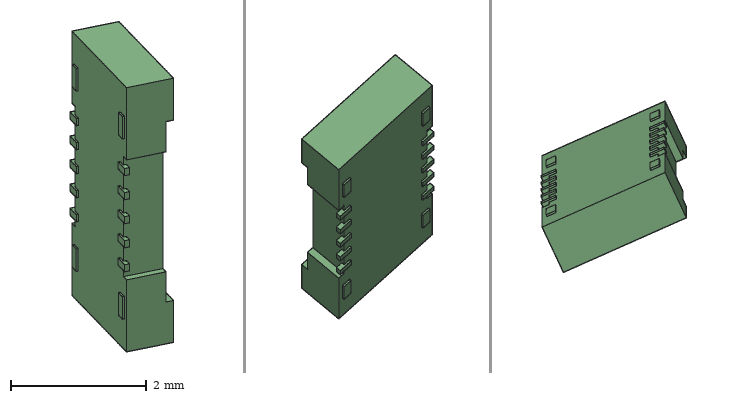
import cadquery as cq


LENGTH = 4.4
WIDTH = 2.0
OVERALL_THICKNESS = 0.79

STANDOFF = 0.03

END_BLOCK_LENGTH = 0.7
STEP_DEPTH = 0.12

NOTCH_END_DISTANCE = 1.2
NOTCH_DEPTH = 0.115

LEAD_COUNT = 5
LEAD_PITCH = 0.4
LEAD_LENGTH = 0.238
LEAD_WIDTH = 0.12
LEAD_THICKNESS = 0.08

PAD_WIDTH = 0.15
PAD_LENGTH = 0.375
PAD_EMBED = 0.02
PAD_OFFSET_X = 0.845
PAD_OFFSET_Z = 1.5

BODY_THICKNESS = OVERALL_THICKNESS - STANDOFF
MOUNTING_FACE_Y = -BODY_THICKNESS / 2
STEPPED_FACE_Y = BODY_THICKNESS / 2
SIDES = (-1, 1)


def box_at(size, center):
    return cq.Workplane("XY").box(*size).translate(center)


def make_housing():
    housing = box_at((WIDTH, BODY_THICKNESS, LENGTH), (0, 0, 0))

    step_length = LENGTH - 2 * END_BLOCK_LENGTH
    step_size = (WIDTH, 2 * STEP_DEPTH, step_length)
    housing = housing.cut(box_at(step_size, (0, STEPPED_FACE_Y, 0)))

    notch_length = LENGTH - 2 * NOTCH_END_DISTANCE
    notch_size = (2 * NOTCH_DEPTH, BODY_THICKNESS, notch_length)
    for side in SIDES:
        housing = housing.cut(box_at(notch_size, (side * WIDTH / 2, 0, 0)))
    return housing


def make_lead(side, z):
    size = (LEAD_LENGTH, LEAD_THICKNESS, LEAD_WIDTH)
    x = side * (WIDTH - LEAD_LENGTH) / 2
    y = MOUNTING_FACE_Y - STANDOFF + LEAD_THICKNESS / 2
    return box_at(size, (x, y, z))


def make_pad(side, end):
    thickness = STANDOFF + PAD_EMBED
    size = (PAD_WIDTH, thickness, PAD_LENGTH)
    y = MOUNTING_FACE_Y - STANDOFF + thickness / 2
    return box_at(size, (side * PAD_OFFSET_X, y, end * PAD_OFFSET_Z))


result = make_housing()

for side in SIDES:
    for index in range(LEAD_COUNT):
        lead_z = (index - (LEAD_COUNT - 1) / 2) * LEAD_PITCH
        result = result.union(make_lead(side, lead_z))
    for end in SIDES:
        result = result.union(make_pad(side, end))